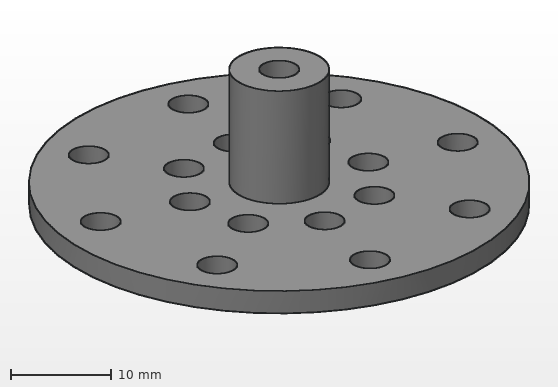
import cadquery as cq

FLANGE_DIAMETER = 50.0
FLANGE_THICKNESS = 2.5
HUB_DIAMETER = 10.0
TOTAL_HEIGHT = 15.0
HOLE_DIAMETER = 4.0

BOLT_CIRCLE_RADII = (10.0, 20.0)
HOLES_PER_CIRCLE = 8


def make_flange():
    """Round disc with its underside on Z = 0."""
    return cq.Workplane("XY").circle(FLANGE_DIAMETER / 2).extrude(FLANGE_THICKNESS)


def make_hub():
    """Central cylinder rising from the underside of the flange to full height."""
    return cq.Workplane("XY").circle(HUB_DIAMETER / 2).extrude(TOTAL_HEIGHT)


def make_bore():
    """Cutter for the axial bore through the hub and flange."""
    return cq.Workplane("XY").circle(HOLE_DIAMETER / 2).extrude(TOTAL_HEIGHT)


def make_bolt_holes(circle_radius):
    """Cutter for one ring of holes through the flange, the first on the +X axis."""
    return (
        cq.Workplane("XY")
        .polarArray(circle_radius, 0, 360, HOLES_PER_CIRCLE)
        .circle(HOLE_DIAMETER / 2)
        .extrude(FLANGE_THICKNESS)
    )


result = make_flange().union(make_hub()).cut(make_bore())
for radius in BOLT_CIRCLE_RADII:
    result = result.cut(make_bolt_holes(radius))